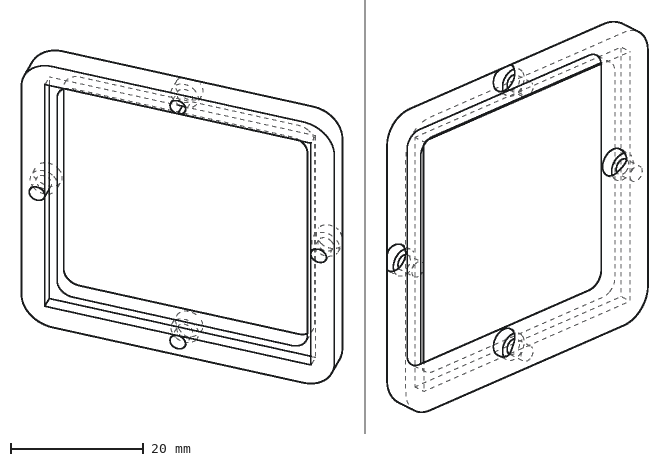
import cadquery as cq

side = 50
depth = 5
corner_radius = 5
edge_radius = 1.5

window_side = 40
window_corner_radius = 2.5
seat_side = 42.5
seat_depth = 2

hole_diameter = 2.5
hole_offset = 22.5
counterbore_diameter = 4.4
counterbore_depth = 2

front_y = -depth / 2
back_y = depth / 2


def square_block(width, length):
    """Square block centred on the Y axis, running from the front face toward +Y."""
    return (
        cq.Workplane("XZ", origin=(0, front_y, 0))
        .rect(width, width)
        .extrude(-length)
    )


frame = square_block(side, depth).edges("|Y").fillet(corner_radius)
frame = frame.faces(">Y").edges().fillet(edge_radius)

window = square_block(window_side, depth).edges("|Y").fillet(window_corner_radius)
seat = square_block(seat_side, seat_depth)
frame = frame.cut(window).cut(seat)

hole_centres = [
    (hole_offset, 0),
    (-hole_offset, 0),
    (0, hole_offset),
    (0, -hole_offset),
]
result = (
    frame.copyWorkplane(cq.Workplane("ZX", origin=(0, back_y, 0)))
    .pushPoints(hole_centres)
    .cboreHole(hole_diameter, counterbore_diameter, counterbore_depth)
)